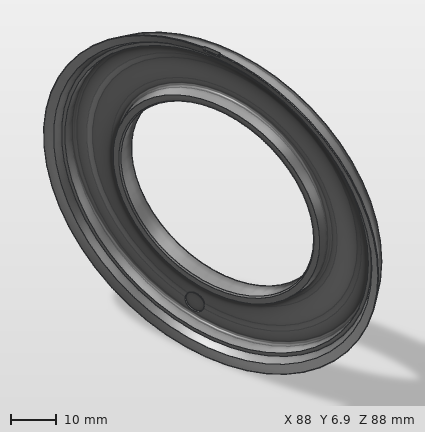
import cadquery as cq
import math

rim_radius = 44.0
depth = 6.9
lip_width = 0.35
back_face_radius = 38.3
flank_radius = 42.4
flank_y = 3.9

rim_bevel_radius = 41.9
rim_bevel_y = 0.8
ledge_outer_radius = 40.8
ledge_inner_radius = 39.95
ledge_y = 2.4
wall_foot_radius = 39.6
floor_fillet = 0.8

floor_y = 5.4
dish_outer_radius = 36.2
dish_foot_radius = 34.85
dish_inner_radius = 29.7
dish_depth = 0.3

bore_radius = 25.3
hub_front_y = 2.3
hub_edge_radius = 27.2
hub_foot_radius = 27.7
hub_fillet = 0.8
bore_chamfer = 0.35

recess_radius = 2.5
recess_x = -7.8
recess_z = -35.1
recess_depth = 0.4
notch_width = 4.1
notch_depth = 1.1
notch_height = 0.8


def ring_body():
    """Revolve the (radius, Y) section about the Y axis."""
    corner = math.sqrt(0.5)
    wall_fillet_radius = wall_foot_radius - floor_fillet
    hub_fillet_radius = hub_foot_radius + hub_fillet
    section = (
        cq.Workplane("XY")
        .moveTo(rim_radius, 0)
        .lineTo(rim_radius, lip_width)
        .lineTo(flank_radius, flank_y)
        .tangentArcPoint((back_face_radius, depth), relative=False)
        .lineTo(bore_radius, depth)
        .lineTo(bore_radius, hub_front_y + bore_chamfer)
        .lineTo(bore_radius + bore_chamfer, hub_front_y)
        .lineTo(hub_edge_radius, hub_front_y)
        .lineTo(hub_foot_radius, floor_y - hub_fillet)
        .threePointArc(
            (hub_fillet_radius - hub_fillet * corner, floor_y - hub_fillet * (1 - corner)),
            (hub_fillet_radius, floor_y),
        )
        .lineTo(dish_inner_radius, floor_y)
        .lineTo(dish_foot_radius, floor_y + dish_depth)
        .lineTo(dish_outer_radius, floor_y)
        .lineTo(wall_fillet_radius, floor_y)
        .threePointArc(
            (wall_fillet_radius + floor_fillet * corner, floor_y - floor_fillet * (1 - corner)),
            (wall_foot_radius, floor_y - floor_fillet),
        )
        .lineTo(ledge_inner_radius, ledge_y)
        .lineTo(ledge_outer_radius, ledge_y)
        .lineTo(rim_bevel_radius, rim_bevel_y)
        .close()
    )
    return section.revolve(360, (0, 0, 0), (0, 1, 0))


def recess():
    """Cutter for the shallow round recess that overlaps the dish edge."""
    return (
        cq.Workplane("XZ", origin=(recess_x, floor_y + recess_depth, recess_z))
        .circle(recess_radius)
        .extrude(2 * recess_depth)
    )


def notch():
    """Cutter for the shallow notch through the front lip at the top of the ring."""
    return cq.Workplane("XY", origin=(0, 0, rim_radius - notch_depth)).box(
        notch_width, 2 * notch_height, 2 * notch_depth, centered=(True, True, False)
    )


result = ring_body().cut(recess()).cut(notch())